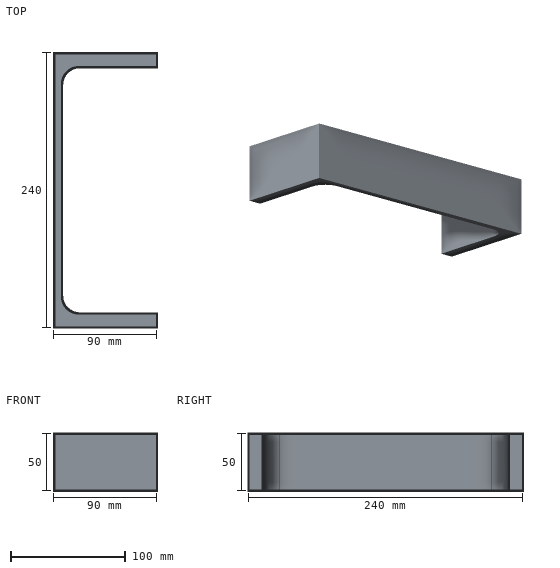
import cadquery as cq

depth = 240.0
flange_width = 90.0
length = 50.0
web_thickness = 7.0
flange_thickness = 12.5
root_radius = 15.0

envelope = cq.Workplane("XY").box(flange_width, depth, length, centered=(False, True, False))

opening_width = flange_width - web_thickness
opening_depth = depth - 2 * flange_thickness
opening = (
    cq.Workplane("XY")
    .box(opening_width, opening_depth, length, centered=(False, True, False))
    .edges("|Z and <X")
    .fillet(root_radius)
    .translate((web_thickness, 0, 0))
)

result = envelope.cut(opening)